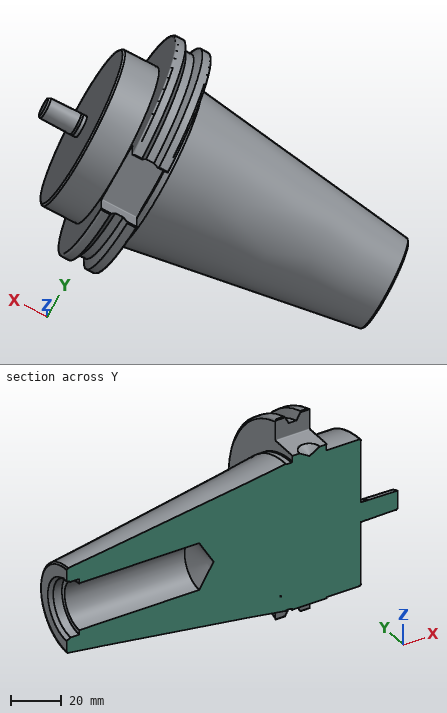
import cadquery as cq
import math

total_length = 153.7
gauge_x = 101.6
neck_start_x = 102.4
flange_start_x = 104.7
flange_end_x = 120.7
body_end_x = 136.6
flange_mid_x = (flange_start_x + flange_end_x) / 2

gauge_diameter = 69.8
taper_ratio = 7 / 24
small_diameter = gauge_diameter - gauge_x * taper_ratio
shank_end_chamfer = 0.6
neck_diameter = 69.3
neck_flare_length = 0.5

flange_diameter = 98.4
flange_edge_radius = 0.9
groove_root_diameter = 91.3
groove_root_width = 3.5
groove_flank_angle = math.radians(30)

body_diameter = gauge_diameter
body_edge_chamfer = 0.8

slot_width = 25.5
top_slot_floor_z = 37.7
bottom_slot_floor_z = -35.4
slot_edge_chamfer = 0.5
slot_floor_fillet = 0.5

dimple_diameter = 9.4
drill_point_angle = math.radians(118)

bore_mouth_diameter = 28.3
bore_diameter = 26.1
bore_chamfer_depth = 1.8
bore_depth = 5.8
pilot_diameter = 22.0
pilot_end_x = 61.5

pin_diameter = 9.5
pin_neck_diameter = 9.4
pin_tip_diameter = 9.0
pin_base_length = 0.5
pin_collar_length = 1.7
pin_neck_length = 0.9
pin_tip_chamfer = 0.9


def revolve_about_x(points):
    """Revolve a closed (x, radius) outline about the X axis."""
    return cq.Workplane("XY").polyline(points).close().revolve(360, (0, 0, 0), (1, 0, 0))


def cone_length(diameter):
    """Length of a drill point of the given diameter."""
    return diameter / 2 / math.tan(drill_point_angle / 2)


def make_shank():
    gauge_radius = gauge_diameter / 2
    neck_radius = neck_diameter / 2
    chamfer_end_radius = (small_diameter + shank_end_chamfer * taper_ratio) / 2
    return revolve_about_x([
        (0, 0),
        (0, small_diameter / 2 - shank_end_chamfer),
        (shank_end_chamfer, chamfer_end_radius),
        (gauge_x, gauge_radius),
        (neck_start_x, neck_radius),
        (flange_start_x - neck_flare_length, neck_radius),
        (flange_start_x, gauge_radius),
        (flange_start_x, 0),
    ])


def make_slot(floor_z):
    """Cutter that reaches radially outward from the slot floor across the flange."""
    outer_z = math.copysign(flange_diameter / 2, floor_z)
    inner_face = "<Z" if floor_z > 0 else ">Z"
    return (
        cq.Workplane("XY", origin=(flange_mid_x, 0, (floor_z + outer_z) / 2))
        .box(flange_end_x - flange_start_x, slot_width, abs(outer_z - floor_z))
        .faces(inner_face)
        .edges("|X")
        .fillet(slot_floor_fillet)
    )


def make_groove():
    """Cutter for the V-groove around the flange rim."""
    radius = flange_diameter / 2
    root_radius = groove_root_diameter / 2
    root_half = groove_root_width / 2
    mouth_half = root_half + (radius - root_radius) * math.tan(groove_flank_angle)
    return revolve_about_x([
        (flange_mid_x - root_half, root_radius),
        (flange_mid_x - mouth_half, radius),
        (flange_mid_x + mouth_half, radius),
        (flange_mid_x + root_half, root_radius),
    ])


def make_flange():
    radius = flange_diameter / 2
    disc = (
        cq.Workplane("YZ", origin=(flange_start_x, 0, 0))
        .circle(radius)
        .extrude(flange_end_x - flange_start_x)
    )
    for floor_z in (top_slot_floor_z, bottom_slot_floor_z):
        disc = disc.cut(make_slot(floor_z))
    rim_z = math.sqrt(radius**2 - (slot_width / 2) ** 2)
    for side_y in (-slot_width / 2, slot_width / 2):
        for edge_z in (-rim_z, rim_z):
            edge = cq.selectors.NearestToPointSelector((flange_mid_x, side_y, edge_z))
            disc = disc.edges(edge).chamfer(slot_edge_chamfer)
    rim_edges = disc.edges("%CIRCLE").filter(lambda edge: edge.radius() > groove_root_diameter / 2)
    return rim_edges.fillet(flange_edge_radius).cut(make_groove())


def make_body():
    return (
        cq.Workplane("YZ", origin=(flange_end_x, 0, 0))
        .circle(body_diameter / 2)
        .extrude(body_end_x - flange_end_x)
        .faces(">X")
        .chamfer(body_edge_chamfer)
    )


def make_pin():
    neck_radius = pin_neck_diameter / 2
    collar_end_x = body_end_x + pin_collar_length
    return revolve_about_x([
        (body_end_x, 0),
        (body_end_x, neck_radius),
        (body_end_x + pin_base_length, pin_diameter / 2),
        (collar_end_x, pin_diameter / 2),
        (collar_end_x, neck_radius),
        (collar_end_x + pin_neck_length, neck_radius),
        (collar_end_x + pin_neck_length, pin_diameter / 2),
        (total_length - pin_tip_chamfer, pin_tip_diameter / 2),
        (total_length, pin_tip_diameter / 2 - pin_tip_chamfer / 2),
        (total_length, 0),
    ])


def make_bore():
    pilot_radius = pilot_diameter / 2
    return revolve_about_x([
        (0, 0),
        (0, bore_mouth_diameter / 2),
        (bore_chamfer_depth, bore_diameter / 2),
        (bore_depth, bore_diameter / 2),
        (bore_depth, pilot_radius),
        (pilot_end_x, pilot_radius),
        (pilot_end_x + cone_length(pilot_diameter), 0),
    ])


def make_dimple():
    radius = dimple_diameter / 2
    return (
        cq.Workplane("XZ", origin=(flange_mid_x, 0, 0))
        .polyline([
            (0, top_slot_floor_z),
            (radius, top_slot_floor_z),
            (0, top_slot_floor_z - cone_length(dimple_diameter)),
        ])
        .close()
        .revolve(360, (0, 0, 0), (0, 1, 0))
    )


result = (
    make_shank()
    .union(make_flange())
    .union(make_body())
    .union(make_pin())
    .cut(make_bore())
    .cut(make_dimple())
)